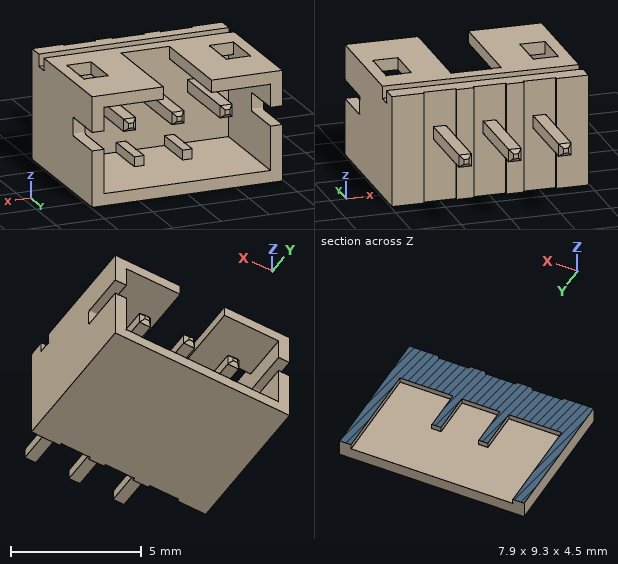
import cadquery as cq


pin_count = 3
pitch = 2.0
end_margin = 1.95
body_width = (pin_count - 1) * pitch + 2 * end_margin
body_length = 6.0
body_height = 4.5
wall = 0.5
base_length = 1.8

pin_size = 0.5
pin_axis_z = body_height - 1.7
pin_tail = 3.3
pin_recess = 0.8
pin_tip_size = 0.2
pin_tip_length = 0.15

key_slot_width = 2.0
side_slot_depth = 1.9
side_slot_height = 0.75
side_slot_radius = 0.08
window_width = 1.0
window_length = 1.7
window_side_margin = 0.5
window_front_margin = 2.0

top_groove_size = 0.5
top_groove_start = 0.7
seat_groove_width = 1.3
seat_groove_depth = 0.1

rib_width = 0.4
rib_height = 0.4
rib_end = body_length - 2.4

pin_positions = [(i - (pin_count - 1) / 2) * pitch for i in range(pin_count)]


def block(x_min, x_max, y_min, y_max, z_min, z_max):
    """Axis-aligned box between two corners."""
    size = (x_max - x_min, y_max - y_min, z_max - z_min)
    return cq.Workplane("XY").box(*size, centered=False).translate((x_min, y_min, z_min))


def centred_block(x_centre, width, y_min, y_max, z_min, z_max):
    """Axis-aligned box of a given X width about x_centre."""
    return block(x_centre - width / 2, x_centre + width / 2, y_min, y_max, z_min, z_max)


def make_shell():
    """Box with a cavity open on the mating side."""
    outer = centred_block(0, body_width, 0, body_length, 0, body_height)
    cavity_width = body_width - 2 * wall
    cavity = centred_block(0, cavity_width, base_length, body_length, wall, body_height - wall)
    return outer.cut(cavity)


def make_key_slot():
    """Open-ended slot through the top wall, down to the base."""
    return centred_block(0, key_slot_width, base_length, body_length, body_height - wall, body_height)


def make_side_slots():
    """Open-ended slot through both side walls, level with the top of the pins."""
    slot_top = pin_axis_z + pin_size / 2
    slot_start = body_length - side_slot_depth
    slot = centred_block(0, body_width, slot_start, body_length, slot_top - side_slot_height, slot_top)
    return slot.faces("<Y").edges("|X").fillet(side_slot_radius)


def make_window(side):
    """Rectangular window through the top wall; side is -1 or +1."""
    x_centre = side * (body_width / 2 - window_side_margin - window_width / 2)
    y_max = body_length - window_front_margin
    y_min = y_max - window_length
    return centred_block(x_centre, window_width, y_min, y_max, body_height - wall, body_height)


def make_top_groove():
    """Groove across the full width of the top face, over the solid base."""
    groove_end = top_groove_start + top_groove_size
    groove_floor = body_height - top_groove_size
    return centred_block(0, body_width, top_groove_start, groove_end, groove_floor, body_height)


def make_seat_groove(x_centre):
    """Shallow groove in the seating face around one pin."""
    return centred_block(x_centre, seat_groove_width, 0, seat_groove_depth, 0, body_height)


def make_rib(x_centre):
    """Low rib on the cavity's bottom wall, midway between two pins."""
    return centred_block(x_centre, rib_width, base_length, rib_end, wall, wall + rib_height)


def make_pin_tip(x_centre, y_root, direction):
    """Tapered pin end growing from y_root; direction is -1 or +1 along Y."""
    root_plane = cq.Plane(origin=(x_centre, y_root, pin_axis_z), xDir=(1, 0, 0), normal=(0, direction, 0))
    root = cq.Workplane(root_plane).rect(pin_size, pin_size)
    return root.workplane(offset=pin_tip_length).rect(pin_tip_size, pin_tip_size).loft(ruled=True)


def make_pin(x_centre):
    """Square pin with a tapered tip at both ends."""
    y_min = -pin_tail + pin_tip_length
    y_max = body_length - pin_recess - pin_tip_length
    z_min = pin_axis_z - pin_size / 2
    shank = centred_block(x_centre, pin_size, y_min, y_max, z_min, z_min + pin_size)
    return shank.union(make_pin_tip(x_centre, y_min, -1)).union(make_pin_tip(x_centre, y_max, 1))


result = make_shell().cut(make_key_slot()).cut(make_side_slots()).cut(make_top_groove())

for side in (-1, 1):
    result = result.cut(make_window(side))

for x_pin in pin_positions:
    result = result.cut(make_seat_groove(x_pin))

for x_pin in pin_positions[:-1]:
    result = result.union(make_rib(x_pin + pitch / 2))

for x_pin in pin_positions:
    result = result.union(make_pin(x_pin))